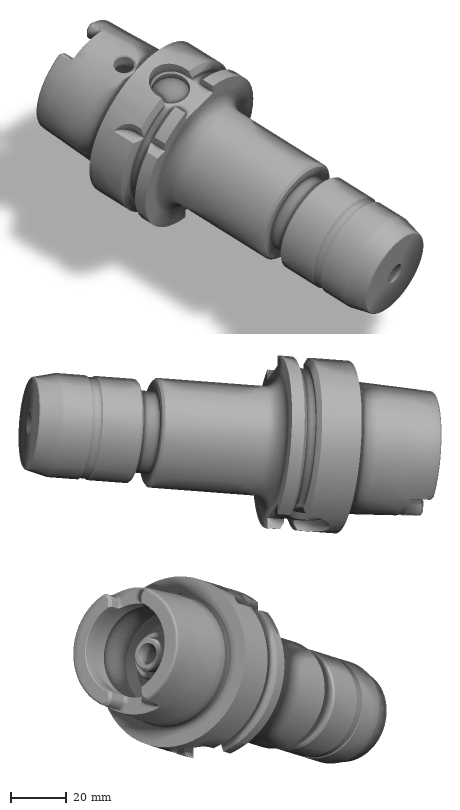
import cadquery as cq
import math


taper_length = 32.0
taper_gauge_diameter = 48.0
taper_gauge_distance = 6.3
taper_ratio = 9.98
taper_end_round = 1.0
relief_start = -2.5
relief_floor_start = -1.7
relief_radius = 23.9
relief_fillet = 0.7
relief_face_depth = 0.3
relief_rim_radius = 25.3

flange_length = 26.0
flange_radius = 63.0 / 2
groove_center = 18.0
groove_floor_width = 3.6
groove_floor_radius = 55.0 / 2
groove_wall_radius = 29.0
groove_flank_angle = 30.0

body_radius = 40.0 / 2
body_fillet = 5.0
body_end = 71.4
body_chamfer = 0.9
neck_radius = 30.0 / 2
nut_start = 78.3
nut_radius = 38.0 / 2
nut_chamfer = 0.7
nut_groove_start = 94.1
nut_groove_end = 97.4
nut_groove_radius = 37.0 / 2
nose_start = 108.4
nose_radius = 34.0 / 2
nose_chamfer = 0.3
total_length = 148.8

bore_radius = 34.0 / 2
bore_length = 12.2
bore_mouth_radius = 34.6 / 2
undercut_radius = 37.0 / 2
undercut_angle = 60.0
cavity_end = 0.0
cavity_floor_radius = 15.6
coolant_nut_radius = 18.0 / 2
coolant_nut_start = -12.3
coolant_nut_chamfer_length = 1.0
coolant_nut_face_radius = 8.4
tube_radius = 12.0 / 2
tube_tip_radius = 5.3
tube_start = -17.0
through_hole_diameter = 8.0

slot_width = 12.54
slot_depth_top = 6.0
slot_depth_bottom = 10.0
slot_edge_round = 3.0
slot_edge_level = 17.8
slot_corner_fillet = 1.5
slot_mouth_chamfer = 1.0
keyway_width = 16.0
keyway_center_x = 12.8
keyway_floor = 26.5
key_pocket_diameter = 14.0
key_pocket_depth = 2.6
notch_level = 20.0
access_hole_diameter = 7.5
access_hole_mouth_diameter = 9.0
access_hole_x = -9.0

shank_end = -taper_length
nose_end = total_length - taper_length
clear = 1.0


def taper_radius(x):
    """Radius of the taper at a position along the axis."""
    return (taper_gauge_diameter + (x + taper_gauge_distance) / taper_ratio) / 2


def revolve(profile):
    return profile.close().revolve(360, (0, 0, 0), (1, 0, 0))


def outer_body():
    flank_run = (flange_radius - groove_wall_radius) * math.tan(math.radians(groove_flank_angle))
    taper_start_radius = taper_radius(shank_end + taper_end_round)
    floor_half = groove_floor_width / 2
    mouth_half = floor_half + flank_run
    nut_groove_chamfer = nut_radius - nut_groove_radius
    profile = (
        cq.Workplane("XY")
        .moveTo(shank_end, 0)
        .lineTo(shank_end, taper_start_radius - taper_end_round)
        .radiusArc((shank_end + taper_end_round, taper_start_radius), taper_end_round)
        .lineTo(relief_start, taper_radius(relief_start))
        .lineTo(relief_floor_start, relief_radius)
        .lineTo(relief_face_depth - relief_fillet, relief_radius)
        .radiusArc((relief_face_depth, relief_radius + relief_fillet), -relief_fillet)
        .lineTo(relief_face_depth, relief_rim_radius)
        .lineTo(0, relief_rim_radius)
        .lineTo(0, flange_radius)
        .lineTo(groove_center - mouth_half, flange_radius)
        .lineTo(groove_center - floor_half, groove_wall_radius)
        .lineTo(groove_center - floor_half, groove_floor_radius)
        .lineTo(groove_center + floor_half, groove_floor_radius)
        .lineTo(groove_center + floor_half, groove_wall_radius)
        .lineTo(groove_center + mouth_half, flange_radius)
        .lineTo(flange_length, flange_radius)
        .lineTo(flange_length, body_radius + body_fillet)
        .radiusArc((flange_length + body_fillet, body_radius), -body_fillet)
        .lineTo(body_end - body_chamfer, body_radius)
        .lineTo(body_end, body_radius - body_chamfer)
        .lineTo(body_end, neck_radius)
        .lineTo(nut_start, neck_radius)
        .lineTo(nut_start, nut_radius - nut_chamfer)
        .lineTo(nut_start + nut_chamfer, nut_radius)
        .lineTo(nut_groove_start - nut_groove_chamfer, nut_radius)
        .lineTo(nut_groove_start, nut_groove_radius)
        .lineTo(nut_groove_end, nut_groove_radius)
        .lineTo(nut_groove_end, nut_radius)
        .lineTo(nose_start, nut_radius)
        .lineTo(nose_end - nose_chamfer, nose_radius)
        .lineTo(nose_end, nose_radius - nose_chamfer)
        .lineTo(nose_end, 0)
    )
    return revolve(profile)


def shank_cavity():
    """Hollow of the shank, leaving the coolant nut and tube standing on its floor."""
    mouth_chamfer = bore_mouth_radius - bore_radius
    bore_end = shank_end + bore_length
    undercut_run = (undercut_radius - bore_radius) / math.tan(math.radians(undercut_angle))
    floor_chamfer = undercut_radius - cavity_floor_radius
    tip_chamfer = tube_radius - tube_tip_radius
    profile = (
        cq.Workplane("XY")
        .moveTo(shank_end, 0)
        .lineTo(shank_end, bore_mouth_radius)
        .lineTo(shank_end + mouth_chamfer, bore_radius)
        .lineTo(bore_end, bore_radius)
        .lineTo(bore_end + undercut_run, undercut_radius)
        .lineTo(cavity_end - floor_chamfer, undercut_radius)
        .lineTo(cavity_end, cavity_floor_radius)
        .lineTo(cavity_end, coolant_nut_radius)
        .lineTo(coolant_nut_start + coolant_nut_chamfer_length, coolant_nut_radius)
        .lineTo(coolant_nut_start, coolant_nut_face_radius)
        .lineTo(coolant_nut_start, tube_radius)
        .lineTo(tube_start + tip_chamfer, tube_radius)
        .lineTo(tube_start, tube_tip_radius)
        .lineTo(tube_start, 0)
    )
    return revolve(profile)


def through_hole():
    return (
        cq.Workplane("YZ", origin=(shank_end, 0, 0))
        .circle(through_hole_diameter / 2)
        .extrude(total_length)
    )


def slot_outline(plane_x):
    """Outline of a drive slot across the +Z side of the shank, flared by its rounded outer edges."""
    half = slot_width / 2
    flare_half = half + slot_edge_round
    flare_level = slot_edge_level + slot_edge_round
    bottom = bore_radius / 2
    top = taper_gauge_diameter / 2 + clear
    return (
        cq.Workplane("YZ", origin=(plane_x, 0, 0))
        .moveTo(-half, bottom)
        .lineTo(half, bottom)
        .lineTo(half, slot_edge_level)
        .radiusArc((flare_half, flare_level), slot_edge_round)
        .lineTo(flare_half, top)
        .lineTo(-flare_half, top)
        .lineTo(-flare_half, flare_level)
        .radiusArc((-half, slot_edge_level), slot_edge_round)
        .close()
    )


def drive_slot(depth):
    """Cutter for a drive slot with filleted inner corners and a chamfered mouth."""
    channel = (
        slot_outline(shank_end)
        .extrude(depth)
        .faces(">X")
        .edges("not(<Z or >Z)")
        .fillet(slot_corner_fillet)
    )
    mouth = slot_outline(shank_end + slot_mouth_chamfer).extrude(-slot_mouth_chamfer, taper=-45)
    return channel.union(mouth)


def round_ended_slot(center_y, floor):
    """Cutter for a slot open to +X whose end is a half circle, cut down from +Z to a floor."""
    height = flange_radius + clear - floor
    length = flange_length + clear - keyway_center_x
    base = cq.Workplane("XY", origin=(keyway_center_x, center_y, floor))
    end = base.circle(keyway_width / 2).extrude(height)
    run = base.rect(length, keyway_width, centered=(False, True)).extrude(height)
    return end.union(run)


def keyway():
    pocket = (
        cq.Workplane("XY", origin=(keyway_center_x, 0, keyway_floor - key_pocket_depth))
        .circle(key_pocket_diameter / 2)
        .extrude(key_pocket_depth + clear)
    )
    return round_ended_slot(0, keyway_floor).union(pocket)


def corner_notch():
    return round_ended_slot(-(notch_level + keyway_width / 2), notch_level)


def access_hole():
    """Countersunk radial hole through the +Z wall of the shank."""
    surface = taper_radius(access_hole_x)
    mouth_depth = (access_hole_mouth_diameter - access_hole_diameter) / 2
    start = coolant_nut_radius + clear
    drill = (
        cq.Workplane("XY", origin=(access_hole_x, 0, start))
        .circle(access_hole_diameter / 2)
        .extrude(surface + clear - start)
    )
    mouth = cq.Workplane(
        cq.Solid.makeCone(
            access_hole_diameter / 2,
            access_hole_mouth_diameter / 2 + clear,
            mouth_depth + clear,
            cq.Vector(access_hole_x, 0, surface - mouth_depth),
            cq.Vector(0, 0, 1),
        )
    )
    return drill.union(mouth)


def opposite(cutter):
    """The same cutter turned half a turn about the X axis."""
    return cutter.rotate((0, 0, 0), (1, 0, 0), 180)


result = (
    outer_body()
    .cut(shank_cavity())
    .cut(through_hole())
    .cut(drive_slot(slot_depth_top))
    .cut(opposite(drive_slot(slot_depth_bottom)))
    .cut(keyway())
    .cut(opposite(keyway()))
    .cut(corner_notch())
    .cut(access_hole())
)